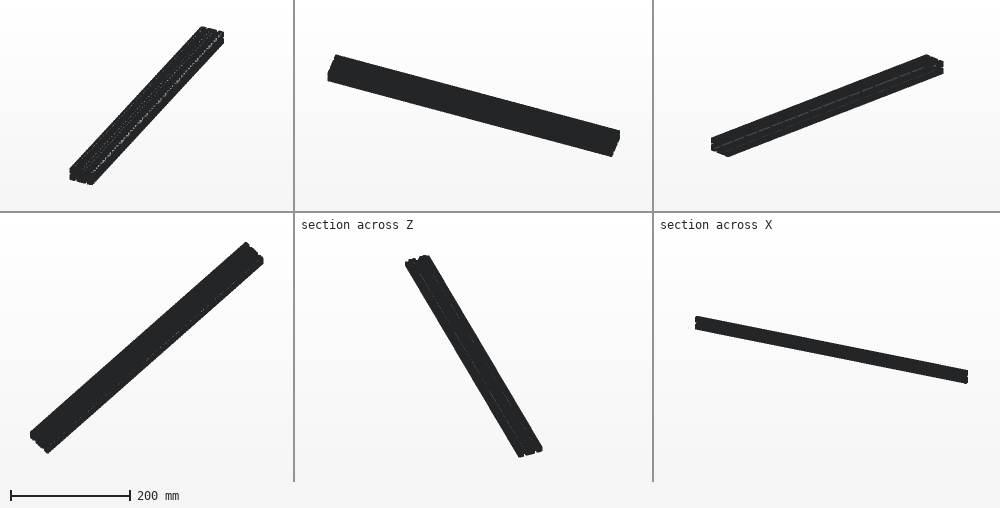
import cadquery as cq
import math

length = 500.0
height = 20.0
width = 2 * height
corner_radius = 1.5
half_opening = 3.1
lip_thickness = 1.8
pocket_width = 12.0
half_core = 3.9
web_thickness = 1.7
screw_hole_diameter = 4.2
cavity_width = 10.0
cavity_wall = 1.5

half_height = height / 2
cell_center = width / 4
web_offset = web_thickness / math.sqrt(2)
cut_overlap = 0.5


def extrude_profile(sketch):
    """Extrude a cross-section in XZ symmetrically along Y."""
    return sketch.extrude(length / 2, both=True)


def make_slot(center_x, angle):
    """T-slot opening upward from a cell center, turned about that center."""
    pocket = pocket_width / 2
    floor = half_core - web_offset
    lip_z = half_height - lip_thickness
    outside_z = half_height + cut_overlap
    right_side = [
        (floor, half_core),
        (pocket, pocket + web_offset),
        (pocket, lip_z),
        (half_opening, lip_z),
        (half_opening, outside_z),
    ]
    left_side = [(-x, z) for x, z in reversed(right_side)]
    slot = extrude_profile(cq.Workplane("XZ").polyline(right_side + left_side).close())
    return slot.rotate((0, 0, 0), (0, 1, 0), angle).translate((center_x, 0, 0))


def make_cavity():
    """Central cavity with vertical sides and 45-degree faces along the webs."""
    side_x = cavity_width / 2
    top_z = half_height - cavity_wall
    diagonal_sum = cell_center - web_offset
    side_z = diagonal_sum - side_x
    top_x = diagonal_sum - top_z
    outline = [
        (side_x, side_z),
        (top_x, top_z),
        (-top_x, top_z),
        (-side_x, side_z),
        (-side_x, -side_z),
        (-top_x, -top_z),
        (top_x, -top_z),
        (side_x, -side_z),
    ]
    return extrude_profile(cq.Workplane("XZ").polyline(outline).close())


result = cq.Workplane("XY").box(width, length, height).edges("|Y").fillet(corner_radius)

for side in (-1, 1):
    for slot_angle in (0, 180, side * 90):
        result = result.cut(make_slot(side * cell_center, slot_angle))

result = result.cut(make_cavity())
screw_holes = (
    cq.Workplane("XZ")
    .pushPoints([(-cell_center, 0), (cell_center, 0)])
    .circle(screw_hole_diameter / 2)
)
result = result.cut(extrude_profile(screw_holes))